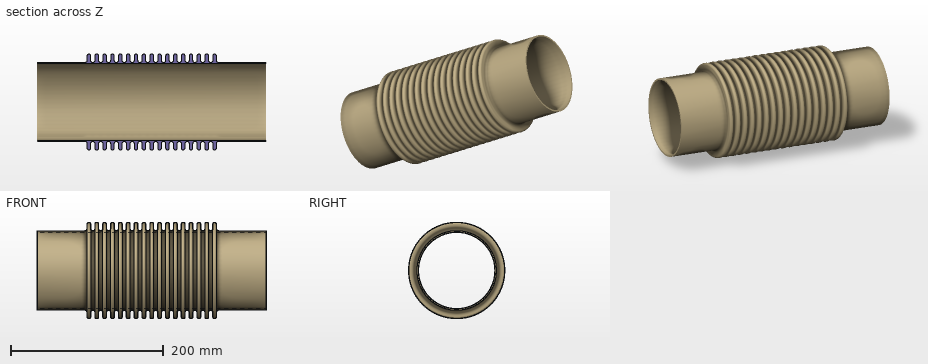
import cadquery as cq

length = 300.0
crest_diameter = 126.3
tube_diameter = 104.0
bore_diameter = 100.0

convolution_count = 17
pitch = 10.3

crest_radius = crest_diameter / 2
tube_radius = tube_diameter / 2
bore_radius = bore_diameter / 2
bend_radius = pitch / 4
bend_diagonal = bend_radius * 0.5 ** 0.5
bellows_start = (length - convolution_count * pitch) / 2


def add_convolution(profile, start):
    """Add one wave to the outline: root bend, flank, round crest, flank, root bend."""
    middle = start + pitch / 2
    end = start + pitch
    root_center = tube_radius + bend_radius
    crest_center = crest_radius - bend_radius
    return (
        profile.threePointArc(
            (start + bend_diagonal, root_center - bend_diagonal),
            (start + bend_radius, root_center),
        )
        .lineTo(middle - bend_radius, crest_center)
        .threePointArc((middle, crest_radius), (middle + bend_radius, crest_center))
        .lineTo(end - bend_radius, root_center)
        .threePointArc((end - bend_diagonal, root_center - bend_diagonal), (end, tube_radius))
    )


profile = (
    cq.Workplane("XY")
    .moveTo(0, bore_radius)
    .lineTo(0, tube_radius)
    .lineTo(bellows_start, tube_radius)
)
for index in range(convolution_count):
    profile = add_convolution(profile, bellows_start + index * pitch)
profile = profile.lineTo(length, tube_radius).lineTo(length, bore_radius).close()

result = profile.revolve(360, (0, 0, 0), (1, 0, 0))